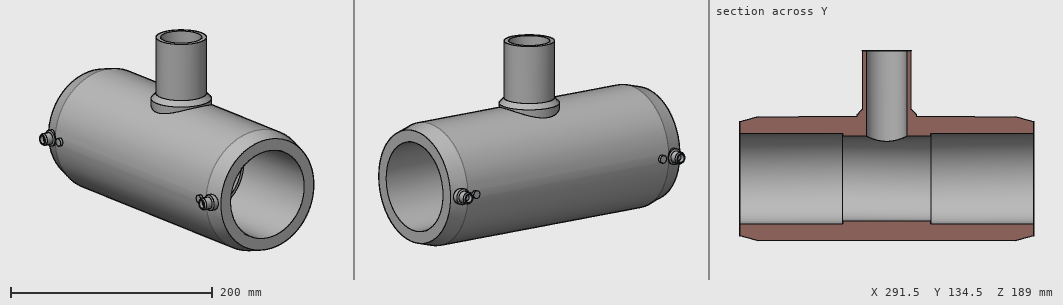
import cadquery as cq

body_length = 291.5
body_radius = 124.0 / 2
end_radius = 114.0 / 2
taper_length = 18.0
socket_radius = 90.0 / 2
stop_bore_radius = 84.5 / 2
stop_length = 87.5

branch_radius = 50.0 / 2
branch_bore_radius = 40.8 / 2
collar_radius = 60.0 / 2
branch_top = 189.0 - body_radius
collar_top = 63.5
cone_top = 68.8

terminal_inset = 11.0
flange_radius = 16.0 / 2
flange_rim = 63.0
flange_crown = 1.0
shroud_radius = 12.0 / 2
terminal_tip = 134.5 - body_radius
tip_taper = 1.7
tip_radius = 10.0 / 2
terminal_bore_radius = 8.0 / 2
terminal_bore_depth = 7.3
contact_radius = 5.0 / 2
contact_length = 4.5
indicator_inset = 27.0
indicator_radius = 8.0 / 2
indicator_face = 64.7

wall_root = (socket_radius + end_radius) / 2


def side_cylinder(x, radius, start, end):
    """Cylinder along -Y between two distances from the pipe axis."""
    plane = cq.Workplane("XZ", origin=(x, -start, 0))
    return plane.circle(radius).extrude(end - start)


def side_cone(x, start_radius, end_radius, start, end):
    """Cone along -Y between two distances from the pipe axis."""
    base = cq.Vector(x, -start, 0)
    outward = cq.Vector(0, -1, 0)
    return cq.Workplane(cq.Solid.makeCone(start_radius, end_radius, end - start, base, outward))


def make_body():
    half = body_length / 2
    shoulder = half - taper_length
    profile = (
        cq.Workplane("XY")
        .moveTo(-half, 0)
        .lineTo(-half, end_radius)
        .lineTo(-shoulder, body_radius)
        .lineTo(shoulder, body_radius)
        .lineTo(half, end_radius)
        .lineTo(half, 0)
        .close()
    )
    return profile.revolve(360, (0, 0, 0), (1, 0, 0))


def make_branch():
    profile = (
        cq.Workplane("XZ")
        .lineTo(collar_radius, 0)
        .lineTo(collar_radius, collar_top)
        .lineTo(branch_radius, cone_top)
        .lineTo(branch_radius, branch_top)
        .lineTo(0, branch_top)
        .close()
    )
    return profile.revolve(360, (0, 0, 0), (0, 1, 0))


def make_bores():
    """Through bore, wider sockets at both ends, and the branch bore."""
    socket_depth = (body_length - stop_length) / 2
    bores = cq.Workplane("YZ").circle(stop_bore_radius).extrude(body_length / 2, both=True)
    for start in (-body_length / 2, stop_length / 2):
        socket = cq.Workplane("YZ", origin=(start, 0, 0)).circle(socket_radius).extrude(socket_depth)
        bores = bores.union(socket)
    return bores.union(cq.Workplane("XY").circle(branch_bore_radius).extrude(branch_top))


def make_terminal(x):
    """Shroud with a crowned flange and tapered tip around a recessed contact pin."""
    bore_floor = terminal_tip - terminal_bore_depth
    shroud_end = terminal_tip - tip_taper
    terminal = side_cylinder(x, flange_radius, wall_root, flange_rim)
    terminal = terminal.union(side_cone(x, flange_radius, shroud_radius, flange_rim, flange_rim + flange_crown))
    terminal = terminal.union(side_cylinder(x, shroud_radius, wall_root, shroud_end))
    terminal = terminal.union(side_cone(x, shroud_radius, tip_radius, shroud_end, terminal_tip))
    terminal = terminal.cut(side_cylinder(x, terminal_bore_radius, bore_floor, terminal_tip))
    return terminal.union(side_cylinder(x, contact_radius, wall_root, bore_floor + contact_length))


result = make_body().union(make_branch()).cut(make_bores())
for side in (-1, 1):
    terminal_x = side * (body_length / 2 - terminal_inset)
    indicator_x = side * (body_length / 2 - indicator_inset)
    result = result.union(make_terminal(terminal_x))
    result = result.union(side_cylinder(indicator_x, indicator_radius, wall_root, indicator_face))